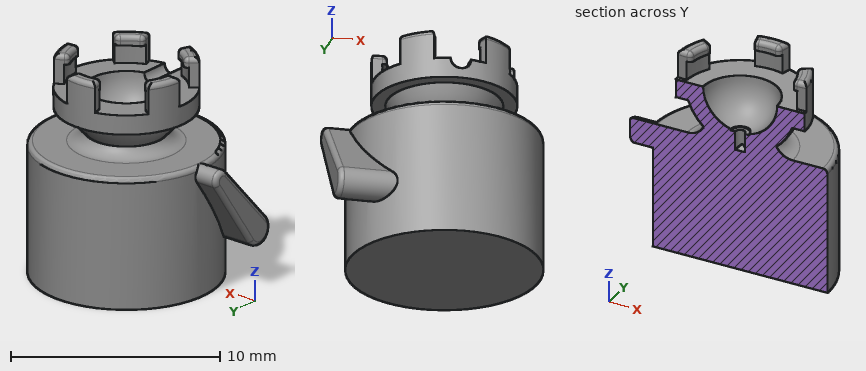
import cadquery as cq
import math

BASE_RADIUS = 4.75
BASE_HEIGHT = 6.82
EDGE_ROUND = 0.25

NECK_HEIGHT = 0.5
NECK_FLARE_RADIUS = 1.0
NECK_FOOT_RADIUS = 2.86

DISC_RADIUS = 3.5
DISC_THICKNESS = 1.0
BALL_RADIUS = 3.0
BALL_CENTER_ABOVE_BASE = 2.75
BOWL_RADIUS = 2.0
DRAIN_GROOVE_RADIUS = 0.5

SEAT_RADIUS = 0.5
HOLE_RADIUS = 0.26
HOLE_DEPTH = 1.0

PRONG_COUNT = 5
PRONG_SPAN_DEGREES = 29.0
FIRST_PRONG_DEGREES = 90.0
PRONG_HEIGHT = 1.5
STEM_INNER_RADIUS = 3.0
LIP_INNER_RADIUS = 2.75
LIP_HEIGHT = 0.5

LEVER_OUTER_X = -6.0
LEVER_ROOT_X = -2.0
LEVER_ROOT_RADIUS = BASE_RADIUS - EDGE_ROUND
LEVER_TOP_RADIUS = 0.5
LEVER_TIP_RADIUS = 0.8
LEVER_TIP_Y = -2.77
LEVER_TIP_Z = 2.84

DISC_TOP_Z = BASE_HEIGHT + BALL_CENTER_ABOVE_BASE
PRONG_TOP_Z = DISC_TOP_Z + PRONG_HEIGHT
DISC_BOTTOM_Z = DISC_TOP_Z - DISC_THICKNESS


def ball_section_radius(z):
    """Radius of the horizontal section, at height z, of the ball centred in the disc top."""
    return math.sqrt(BALL_RADIUS**2 - (DISC_TOP_Z - z)**2)


def make_base():
    """Drum with a rounded top rim."""
    drum = cq.Workplane("XY").circle(BASE_RADIUS).extrude(BASE_HEIGHT)
    return drum.faces(">Z").edges().fillet(EDGE_ROUND)


def flare_point(height):
    """Point (r, z) of the neck flare at a height above the base."""
    drop = NECK_FLARE_RADIUS - height
    r = NECK_FOOT_RADIUS - math.sqrt(NECK_FLARE_RADIUS**2 - drop**2)
    return (r, BASE_HEIGHT + height)


def make_head():
    """Neck, ball, disc and the hooked wall above it as one revolved profile."""
    neck_top_z = BASE_HEIGHT + NECK_HEIGHT
    ball_start = (ball_section_radius(neck_top_z), neck_top_z)
    ball_middle_z = (neck_top_z + DISC_BOTTOM_Z) / 2
    ball_middle = (ball_section_radius(ball_middle_z), ball_middle_z)
    ball_end = (ball_section_radius(DISC_BOTTOM_Z), DISC_BOTTOM_Z)
    profile = (
        cq.Workplane("XZ")
        .moveTo(0, BASE_HEIGHT - EDGE_ROUND)
        .lineTo(NECK_FOOT_RADIUS, BASE_HEIGHT - EDGE_ROUND)
        .lineTo(*flare_point(0))
        .threePointArc(flare_point(NECK_HEIGHT / 2), flare_point(NECK_HEIGHT))
        .lineTo(*ball_start)
        .threePointArc(ball_middle, ball_end)
        .lineTo(DISC_RADIUS, DISC_BOTTOM_Z)
        .lineTo(DISC_RADIUS, PRONG_TOP_Z)
        .lineTo(LIP_INNER_RADIUS, PRONG_TOP_Z)
        .lineTo(LIP_INNER_RADIUS, PRONG_TOP_Z - LIP_HEIGHT)
        .lineTo(STEM_INNER_RADIUS, PRONG_TOP_Z - LIP_HEIGHT)
        .lineTo(STEM_INNER_RADIUS, DISC_TOP_Z)
        .lineTo(0, DISC_TOP_Z)
        .close()
    )
    return profile.revolve(360, (0, 0), (0, 1))


def make_head_cutter():
    """Bowl, drain groove towards -Y, and the stepped hole below the bowl."""
    bowl = cq.Workplane("XY").sphere(BOWL_RADIUS).translate((0, 0, DISC_TOP_Z))
    groove = (
        cq.Workplane("XZ", origin=(0, 0, DISC_TOP_Z))
        .circle(DRAIN_GROOVE_RADIUS)
        .extrude(DISC_RADIUS + DRAIN_GROOVE_RADIUS)
    )
    seat_z = DISC_TOP_Z - BOWL_RADIUS
    hole_bottom_z = seat_z - HOLE_DEPTH
    seat = cq.Workplane("XY", origin=(0, 0, seat_z)).circle(SEAT_RADIUS).extrude(BOWL_RADIUS)
    trough = (
        cq.Workplane("YZ", origin=(-SEAT_RADIUS, 0, 0))
        .moveTo(-HOLE_RADIUS, seat_z)
        .lineTo(-HOLE_RADIUS, hole_bottom_z + HOLE_RADIUS)
        .threePointArc((0, hole_bottom_z), (HOLE_RADIUS, hole_bottom_z + HOLE_RADIUS))
        .lineTo(HOLE_RADIUS, seat_z)
        .close()
        .extrude(2 * SEAT_RADIUS)
    )
    hole = cq.Workplane("XY", origin=(0, 0, hole_bottom_z)).circle(HOLE_RADIUS).extrude(HOLE_DEPTH)
    return bowl.union(groove).union(seat).union(hole.intersect(trough))


def make_gap(middle_angle):
    """Radial wedge that clears the space between two neighbouring prongs."""
    half_gap = math.radians((360 / PRONG_COUNT - PRONG_SPAN_DEGREES) / 2)
    reach = 2 * DISC_RADIUS
    corner_x = reach * math.cos(half_gap)
    corner_y = reach * math.sin(half_gap)
    wedge = (
        cq.Workplane("XY", origin=(0, 0, DISC_TOP_Z))
        .polyline([(0, 0), (corner_x, -corner_y), (corner_x, corner_y)])
        .close()
        .extrude(PRONG_HEIGHT)
    )
    return wedge.rotate((0, 0, 0), (0, 0, 1), middle_angle)


def is_lip_corner(edge):
    """True for the upright edges at the inner corners of the lips."""
    center = edge.Center()
    in_lip = center.z > PRONG_TOP_Z - LIP_HEIGHT
    return in_lip and math.hypot(center.x, center.y) < STEM_INNER_RADIUS


def cut_prongs(head):
    """Cut the hooked wall on top of the disc into prongs and round their lips."""
    pitch = 360 / PRONG_COUNT
    for index in range(PRONG_COUNT):
        head = head.cut(make_gap(FIRST_PRONG_DEGREES + (index + 0.5) * pitch))
    lip_corners = [edge for edge in head.edges("|Z").vals() if is_lip_corner(edge)]
    top_edges = head.faces(">Z").edges().vals()
    return head.newObject(lip_corners + top_edges).fillet(EDGE_ROUND)


def make_lever():
    """Tapered bar: two end arcs joined by their common tangents, rounded on its outer face."""
    top_z = BASE_HEIGHT - LEVER_TOP_RADIUS
    rise = top_z - LEVER_TIP_Z
    run = -LEVER_TIP_Y
    axis_angle = math.atan2(rise, run)
    taper = math.asin((LEVER_TIP_RADIUS - LEVER_TOP_RADIUS) / math.hypot(rise, run))
    upper_normal = axis_angle + math.pi / 2 - taper
    lower_normal = axis_angle - math.pi / 2 + taper

    def top_point(angle):
        return (LEVER_TOP_RADIUS * math.cos(angle), top_z + LEVER_TOP_RADIUS * math.sin(angle))

    def tip_point(angle):
        return (
            LEVER_TIP_Y + LEVER_TIP_RADIUS * math.cos(angle),
            LEVER_TIP_Z + LEVER_TIP_RADIUS * math.sin(angle),
        )

    bar = (
        cq.Workplane("YZ", origin=(LEVER_OUTER_X, 0, 0))
        .moveTo(*top_point(upper_normal))
        .threePointArc(top_point(axis_angle), top_point(lower_normal))
        .lineTo(*tip_point(lower_normal))
        .threePointArc(tip_point(axis_angle + math.pi), tip_point(upper_normal))
        .close()
        .extrude(LEVER_ROOT_X - LEVER_OUTER_X)
    )
    core = cq.Workplane("XY").circle(LEVER_ROOT_RADIUS).extrude(BASE_HEIGHT)
    return bar.faces("<X").edges().fillet(EDGE_ROUND).cut(core)


head = cut_prongs(make_head())
result = make_base().union(make_lever()).union(head).cut(make_head_cutter())